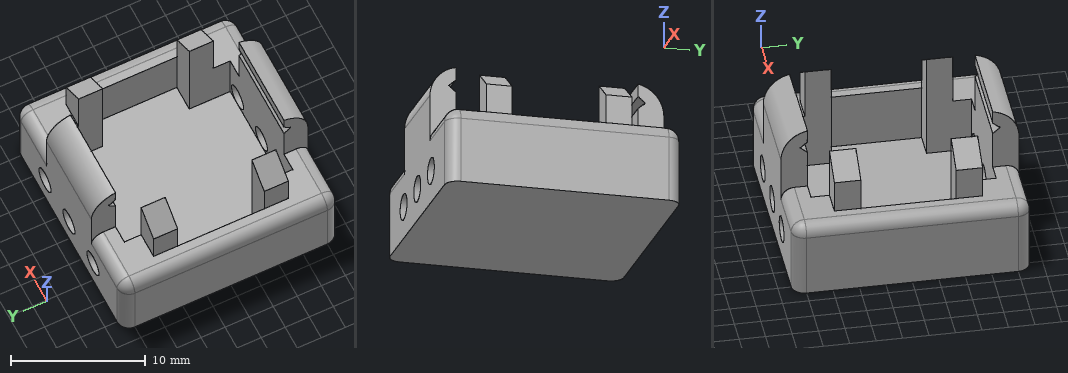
import cadquery as cq

BASE_SIDE = 18.0
BASE_HEIGHT = 6.0
EDGE_RADIUS = 1.0
FLOOR_THICKNESS = 1.5

POST_OUTER_X = 7.3
POST_INNER_X = 5.22
POST_OUTER_Y = 5.6
POST_WIDTH_Y = 2.0
POST_PEAK_Z = 10.0
POST_SHOULDER_Z = 8.55

CLIP_WIDTH = 7.5
CLIP_THICKNESS = 2.0
CLIP_TOP_Z = 11.0
CLIP_ROUND_START_Z = 8.6
NOTCH_DEPTH = 0.55
NOTCH_HEIGHT = 0.95
NOTCH_CENTRE_Z = 9.52

HOLE_DIAMETER = 2.0
HOLE_COUNT = 3
HOLE_PITCH = 4.0
HOLE_Z = 2.5

HALF_SIDE = BASE_SIDE / 2
CLIP_INNER_Y = HALF_SIDE - CLIP_THICKNESS


def make_base():
    """Solid block with rounded upright and top edges and a sharp bottom."""
    block = cq.Workplane("XY").box(BASE_SIDE, BASE_SIDE, BASE_HEIGHT, centered=(True, True, False))
    return block.edges("|Z or >Z").fillet(EDGE_RADIUS)


def make_clip():
    """Clip on the +Y side: rounded outer top and a V notch in its inner face."""
    rise = CLIP_TOP_Z - CLIP_ROUND_START_Z
    round_radius = (CLIP_THICKNESS**2 + rise**2) / (2 * CLIP_THICKNESS)
    return (
        cq.Workplane("YZ")
        .moveTo(CLIP_INNER_Y, FLOOR_THICKNESS)
        .lineTo(HALF_SIDE, FLOOR_THICKNESS)
        .lineTo(HALF_SIDE, CLIP_ROUND_START_Z)
        .radiusArc((CLIP_INNER_Y, CLIP_TOP_Z), -round_radius)
        .lineTo(CLIP_INNER_Y, NOTCH_CENTRE_Z + NOTCH_HEIGHT / 2)
        .lineTo(CLIP_INNER_Y + NOTCH_DEPTH, NOTCH_CENTRE_Z)
        .lineTo(CLIP_INNER_Y, NOTCH_CENTRE_Z - NOTCH_HEIGHT / 2)
        .close()
        .extrude(CLIP_WIDTH / 2, both=True)
    )


def make_pocket():
    """Cross-shaped pocket, open at the top, reaching down to the floor."""
    depth = BASE_HEIGHT - FLOOR_THICKNESS
    floor = cq.Workplane("XY").workplane(offset=FLOOR_THICKNESS)
    long_arm = floor.rect(2 * POST_INNER_X, 2 * CLIP_INNER_Y).extrude(depth)
    wide_arm = floor.rect(2 * POST_OUTER_X, 2 * POST_OUTER_Y).extrude(depth)
    return long_arm.union(wide_arm)


def make_post():
    """Post in the +X +Y corner; its top slopes down towards the outside."""
    return (
        cq.Workplane("XZ", origin=(0, POST_OUTER_Y, 0))
        .moveTo(POST_INNER_X, FLOOR_THICKNESS)
        .lineTo(POST_OUTER_X, FLOOR_THICKNESS)
        .lineTo(POST_OUTER_X, POST_SHOULDER_Z)
        .lineTo(POST_INNER_X, POST_PEAK_Z)
        .close()
        .extrude(POST_WIDTH_Y)
    )


def make_holes():
    """Row of round cutters running along Y through both walls."""
    return (
        cq.Workplane("XZ", origin=(0, 0, HOLE_Z))
        .rarray(HOLE_PITCH, HOLE_PITCH, HOLE_COUNT, 1)
        .circle(HOLE_DIAMETER / 2)
        .extrude(HALF_SIDE, both=True)
    )


result = make_base()

clip = make_clip()
result = result.union(clip).union(clip.mirror("XZ"))

result = result.cut(make_pocket())

post = make_post()
post_pair = post.union(post.mirror("XZ"))
result = result.union(post_pair).union(post_pair.mirror("YZ"))

result = result.cut(make_holes())